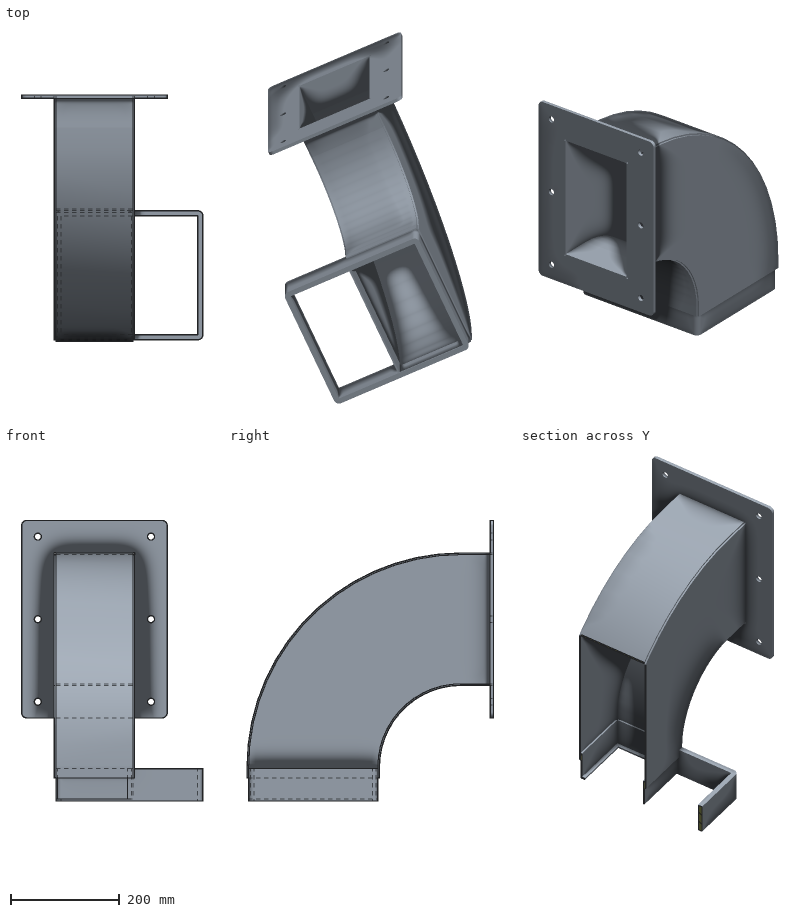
import cadquery as cq
import math


SHEET = 3.0
DUCT_WIDTH = 148.5
DUCT_DEPTH = 244.0
OUTER_RADIUS = 394.0
INNER_RADIUS = OUTER_RADIUS - DUCT_DEPTH
MID_RADIUS = (OUTER_RADIUS + INNER_RADIUS) / 2
INLET_LENGTH = 60.0
OUTLET_LENGTH = 20.0
INSIDE_WIDTH = DUCT_WIDTH - 2 * SHEET
INSIDE_DEPTH = DUCT_DEPTH - 2 * SHEET

FLANGE_MARGIN = 60.0
FLANGE_WIDTH = DUCT_WIDTH + 2 * FLANGE_MARGIN
FLANGE_HEIGHT = DUCT_DEPTH + 2 * FLANGE_MARGIN
FLANGE_THICKNESS = 6.0
HOLE_RADIUS = 6.0
HOLE_EDGE_DISTANCE = 30.0
HOLE_COLUMNS = 2
HOLE_ROWS = 3

CORNER_RADIUS = 10.0
FRAME_LENGTH = 271.0
FRAME_HEIGHT = 60.0
FRAME_BAR = 10.0
FRAME_DROP = 43.0
RIM_HEIGHT = 3.5
FRAME_LEFT = -INSIDE_WIDTH / 2
FRAME_BOTTOM = -OUTLET_LENGTH - FRAME_DROP
SLEEVE_BOTTOM = FRAME_BOTTOM + RIM_HEIGHT
SLEEVE_HEIGHT = FRAME_HEIGHT - RIM_HEIGHT


def bend(small_radius, large_radius, x_start, x_end):
    """Quarter bend with straight ends, filling the band between two radii."""
    diagonal = math.sqrt(0.5)
    return (
        cq.Workplane("YZ", origin=(x_start, 0, 0))
        .moveTo(INLET_LENGTH, small_radius)
        .lineTo(0, small_radius)
        .threePointArc((-small_radius * diagonal, small_radius * diagonal), (-small_radius, 0))
        .lineTo(-small_radius, -OUTLET_LENGTH)
        .lineTo(-large_radius, -OUTLET_LENGTH)
        .lineTo(-large_radius, 0)
        .threePointArc((-large_radius * diagonal, large_radius * diagonal), (0, large_radius))
        .lineTo(INLET_LENGTH, large_radius)
        .close()
        .extrude(x_end - x_start)
    )


def cheek(x_start):
    """Flat side sheet; its rims meet the inner edges of the curved sheets."""
    return bend(INNER_RADIUS + SHEET, OUTER_RADIUS - SHEET, x_start, x_start + SHEET)


def curved_sheet(small_radius):
    """Bent sheet between the two cheeks."""
    return bend(small_radius, small_radius + SHEET, -INSIDE_WIDTH / 2, INSIDE_WIDTH / 2)


def make_flange():
    """Wall plate with an opening for the duct and rows of screw holes."""
    back = cq.Workplane("XZ", origin=(0, INLET_LENGTH, MID_RADIUS))
    plate = back.rect(FLANGE_WIDTH, FLANGE_HEIGHT).extrude(FLANGE_THICKNESS)
    plate = plate.edges("|Y").fillet(CORNER_RADIUS)
    opening = back.rect(DUCT_WIDTH, DUCT_DEPTH).extrude(FLANGE_THICKNESS)
    column_spacing = (FLANGE_WIDTH - 2 * HOLE_EDGE_DISTANCE) / (HOLE_COLUMNS - 1)
    row_spacing = (FLANGE_HEIGHT - 2 * HOLE_EDGE_DISTANCE) / (HOLE_ROWS - 1)
    holes = (
        back.rarray(column_spacing, row_spacing, HOLE_COLUMNS, HOLE_ROWS)
        .circle(HOLE_RADIUS)
        .extrude(FLANGE_THICKNESS)
    )
    return plate.cut(opening).cut(holes)


def outlet_block(length, bottom, height, inset=0):
    """Upright block at the duct mouth, drawn in by the inset on all four sides."""
    center = (FRAME_LEFT + length / 2, -MID_RADIUS, bottom)
    return (
        cq.Workplane("XY", origin=center)
        .rect(length - 2 * inset, INSIDE_DEPTH - 2 * inset)
        .extrude(height)
    )


def rounded_block(length, bottom, height):
    return outlet_block(length, bottom, height).edges("|Z").fillet(CORNER_RADIUS)


def make_frame(sleeve_envelope, crossing_cheek):
    """Closed frame with a recess for the sleeve and slots for the cheek it crosses."""
    outside = rounded_block(FRAME_LENGTH, FRAME_BOTTOM, FRAME_HEIGHT)
    window = outlet_block(FRAME_LENGTH, FRAME_BOTTOM, FRAME_HEIGHT, FRAME_BAR)
    return outside.cut(window).cut(sleeve_envelope).cut(crossing_cheek)


def make_sleeve(sleeve_envelope):
    """Outlet tube with rounded outer corners and sharp inner corners."""
    bore = outlet_block(INSIDE_WIDTH, SLEEVE_BOTTOM, SLEEVE_HEIGHT, SHEET)
    return sleeve_envelope.cut(bore)


flange = make_flange()
left_cheek = cheek(-DUCT_WIDTH / 2)
right_cheek = cheek(DUCT_WIDTH / 2 - SHEET)
outer_sheet = curved_sheet(OUTER_RADIUS - SHEET)
inner_sheet = curved_sheet(INNER_RADIUS)
envelope = rounded_block(INSIDE_WIDTH, SLEEVE_BOTTOM, SLEEVE_HEIGHT)
frame = make_frame(envelope, right_cheek)
sleeve = make_sleeve(envelope)

result = cq.Compound.makeCompound([
    flange.val(),
    left_cheek.val(),
    right_cheek.val(),
    outer_sheet.val(),
    inner_sheet.val(),
    frame.val(),
    sleeve.val(),
])